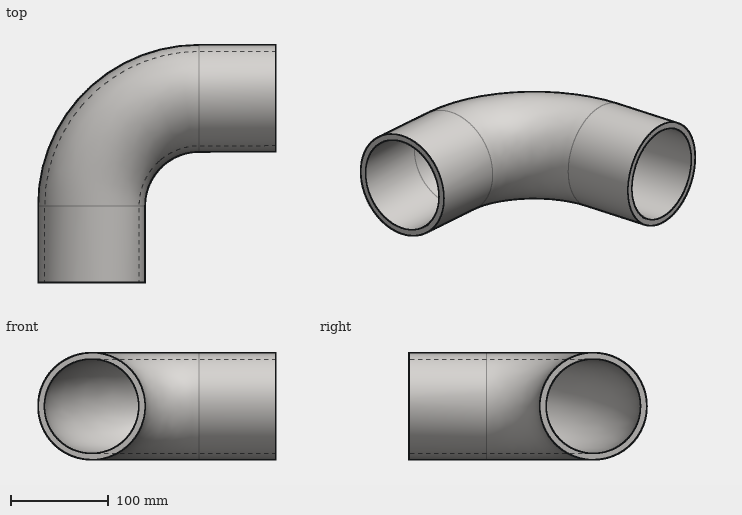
import cadquery as cq

outer_diameter = 110.0
wall_thickness = 6.6
bend_radius = 110.0
bend_angle = 90.0
spigot_length = 79.0

inner_diameter = outer_diameter - 2 * wall_thickness


def pipe_section(plane):
    """Ring-shaped pipe cross-section, centred on the given plane's origin."""
    return cq.Workplane(plane).circle(outer_diameter / 2).circle(inner_diameter / 2)


inlet_plane = cq.Plane(origin=(0, 0, 0), xDir=(1, 0, 0), normal=(0, -1, 0))
outlet_plane = cq.Plane(origin=(bend_radius, bend_radius, 0), xDir=(0, 1, 0), normal=(1, 0, 0))


def make_bend():
    """Quarter-torus pipe turning about a Z-parallel axis at (R, 0)."""
    axis_start = (bend_radius, 0, 0)
    axis_end = (bend_radius, -1, 0)
    return pipe_section(inlet_plane).revolve(bend_angle, axis_start, axis_end)


def make_spigot(plane):
    """Straight pipe leaving the bend along the plane's normal."""
    return pipe_section(plane).extrude(spigot_length)


result = make_bend().union(make_spigot(inlet_plane)).union(make_spigot(outlet_plane))